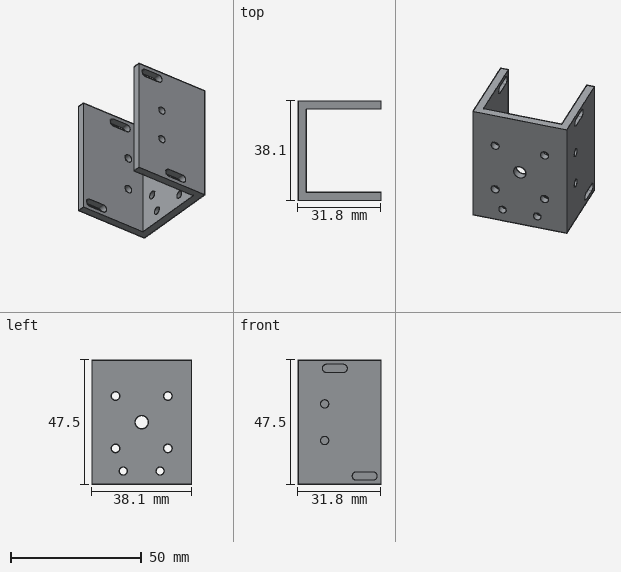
import cadquery as cq

length_x = 31.75
width_y = 38.1
height = 47.5
wall = 3.2

slot_length = 9.55
slot_width = 3.2
slot_edge_distance = 3.2
inner_slot_x = 14.0
outer_slot_x = 25.4
front_hole_diameter = 3.2
rear_hole_diameter = 3.0
front_hole_spacing = 14.0
rear_hole_spacing = 13.0
front_hole_x = 10.1
rear_hole_x = 20.7

center_hole_diameter = 5.0
square_hole_diameter = 3.2
square_hole_spacing = 20.0
lower_hole_diameter = 3.0
lower_hole_spacing = 14.05
lower_hole_z = 5.1

mid_z = height / 2
upper_slot_z = height - slot_edge_distance
lower_slot_z = slot_edge_distance


def make_channel():
    """U-shaped channel, open toward +X, with its base at Z = 0."""
    body = cq.Workplane("XY").box(length_x, width_y, height, centered=(False, True, False))
    cavity = cq.Workplane("XY").box(
        length_x - wall, width_y - 2 * wall, height, centered=(False, True, False)
    )
    return body.cut(cavity.translate((wall, 0, 0)))


def flange_cutter(face_y, upper_slot_x, lower_slot_x, hole_x, hole_spacing, hole_diameter):
    """Two slots and two holes through the flange whose +Y face is at face_y."""
    plane = cq.Workplane("XZ", origin=(0, face_y, 0))
    slots = (
        plane.pushPoints([(upper_slot_x, upper_slot_z), (lower_slot_x, lower_slot_z)])
        .slot2D(slot_length, slot_width)
        .extrude(wall)
    )
    hole_points = [(hole_x, mid_z + side * hole_spacing / 2) for side in (-1, 1)]
    holes = plane.pushPoints(hole_points).circle(hole_diameter / 2).extrude(wall)
    return slots.union(holes)


def web_holes(points, diameter):
    """Round holes through the web at the given (Y, Z) points."""
    return cq.Workplane("YZ").pushPoints(points).circle(diameter / 2).extrude(wall)


square_offset = square_hole_spacing / 2
square_points = [
    (y_side * square_offset, mid_z + z_side * square_offset)
    for y_side in (-1, 1)
    for z_side in (-1, 1)
]
lower_points = [(side * lower_hole_spacing / 2, lower_hole_z) for side in (-1, 1)]

front_flange_y = wall - width_y / 2
rear_flange_y = width_y / 2

front_cutter = flange_cutter(
    front_flange_y, inner_slot_x, outer_slot_x, front_hole_x, front_hole_spacing, front_hole_diameter
)
rear_cutter = flange_cutter(
    rear_flange_y, outer_slot_x, inner_slot_x, rear_hole_x, rear_hole_spacing, rear_hole_diameter
)

result = (
    make_channel()
    .cut(front_cutter)
    .cut(rear_cutter)
    .cut(web_holes([(0, mid_z)], center_hole_diameter))
    .cut(web_holes(square_points, square_hole_diameter))
    .cut(web_holes(lower_points, lower_hole_diameter))
)